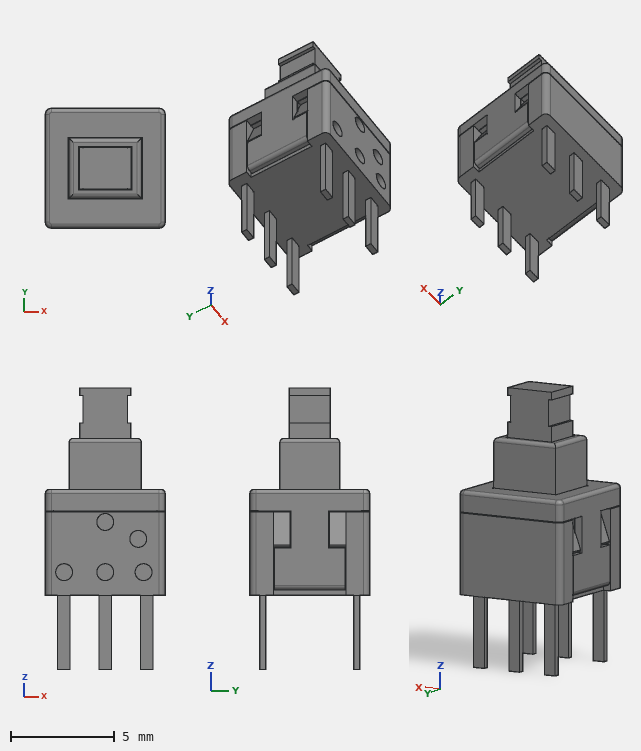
import cadquery as cq

TOTAL_HEIGHT = 13.6
WIDTH = 5.8
CORNER_RADIUS = 0.3
BASE_BOTTOM_Z = 3.59
COVER_TOP_Z = 8.7
CLEARANCE = 0.048

COVER_THICKNESS = 0.4
COVER_EDGE_RADIUS = 0.2
SKIRT_BOTTOM_Z = 7.65
TAB_NECK_WIDTH = 1.8
TAB_ARM_WIDTH = 3.4
TAB_ARM_TOP_Z = 5.86
TAB_BOTTOM_Z = 3.85
TAB_EDGE_RADIUS = 0.2

WEDGE_NOSE_DEPTH = 0.05
WEDGE_TOP_DEPTH = 0.63
WEDGE_EDGE_RADIUS = 0.11

BUTTON_LENGTH = 3.5
BUTTON_WIDTH = 2.9
BUTTON_TOP_Z = 11.17
BUTTON_EDGE_RADIUS = 0.2
TIP_LENGTH = 2.48
TIP_WIDTH = 2.0
TIP_MOAT_DEPTH = 0.2
TIP_NECK_LENGTH = 2.15
TIP_NECK_BOTTOM_Z = 11.91
TIP_NECK_TOP_Z = 13.22

PIN_LENGTH = 0.61
PIN_THICKNESS = 0.3
PIN_PITCH = 2.0
PIN_ROW_SPACING = 4.54

HOLE_RADIUS = 0.41
HOLE_DEPTH = 0.5
LOWER_HOLE_Z = 4.7
HOLE_CENTRES = [
    (-1.99, LOWER_HOLE_Z),
    (0, LOWER_HOLE_Z),
    (1.85, LOWER_HOLE_Z),
    (1.59, 6.31),
    (0, 7.13),
]

HALF_WIDTH = WIDTH / 2
CORE_WIDTH = WIDTH - 2 * COVER_THICKNESS
CORE_TOP_Z = COVER_TOP_Z - COVER_THICKNESS
SHOULDER_Z = SKIRT_BOTTOM_Z - CLEARANCE
CHANNEL_WIDTH = TAB_ARM_WIDTH + 2 * CLEARANCE
NECK_SLOT_WIDTH = TAB_NECK_WIDTH + 2 * CLEARANCE
WEDGE_BOTTOM_Z = TAB_ARM_TOP_Z + CLEARANCE


def box(length, width, bottom_z, top_z):
    """Box centred on the Z axis between two heights."""
    plate = cq.Workplane("XY").workplane(offset=bottom_z).rect(length, width)
    return plate.extrude(top_z - bottom_z)


def rounded_block(bottom_z, top_z):
    """Square block with the rounded upright corners of the outer shape."""
    return box(WIDTH, WIDTH, bottom_z, top_z).edges("|Z").fillet(CORNER_RADIUS)


def on_both_sides(shape):
    """A feature of the -X side together with its copy turned to the +X side."""
    return shape.union(shape.rotate((0, 0, 0), (0, 0, 1), 180))


def side_slab(width, bottom_z, top_z):
    """Slab of the cover's thickness, flush with the -X face."""
    slab = box(COVER_THICKNESS, width, bottom_z, top_z)
    return slab.translate((-HALF_WIDTH + COVER_THICKNESS / 2, 0, 0))


def make_tab():
    """T-shaped tab on the -X side with a rounded lower outer edge."""
    neck = side_slab(TAB_NECK_WIDTH, TAB_ARM_TOP_Z, SKIRT_BOTTOM_Z)
    arms = side_slab(TAB_ARM_WIDTH, TAB_BOTTOM_Z, TAB_ARM_TOP_Z)
    arms = arms.edges("<X and <Z").fillet(TAB_EDGE_RADIUS)
    return neck.union(arms)


def make_cover():
    """Cap over the top of the base, open around the button."""
    cap = rounded_block(SKIRT_BOTTOM_Z, COVER_TOP_Z)
    cap = cap.faces(">Z").edges().fillet(COVER_EDGE_RADIUS)
    cap = cap.cut(box(CORE_WIDTH, CORE_WIDTH, SKIRT_BOTTOM_Z, CORE_TOP_Z))
    opening = box(
        BUTTON_LENGTH + 2 * CLEARANCE,
        BUTTON_WIDTH + 2 * CLEARANCE,
        CORE_TOP_Z,
        COVER_TOP_Z,
    )
    return cap.cut(opening).union(on_both_sides(make_tab()))


def make_ramp_windows():
    """Pair of openings on the -X side, one each side of the tab's neck, floored by the wedge ramps."""
    outer_x = -HALF_WIDTH
    nose_x = outer_x + WEDGE_NOSE_DEPTH
    windows = (
        cq.Workplane("XZ")
        .moveTo(outer_x, WEDGE_BOTTOM_Z)
        .lineTo(nose_x + WEDGE_EDGE_RADIUS, WEDGE_BOTTOM_Z)
        .radiusArc((nose_x, WEDGE_BOTTOM_Z + WEDGE_EDGE_RADIUS), WEDGE_EDGE_RADIUS)
        .lineTo(outer_x + WEDGE_TOP_DEPTH, SHOULDER_Z)
        .lineTo(outer_x, SHOULDER_Z)
        .close()
        .extrude(CHANNEL_WIDTH / 2, both=True)
    )
    return windows.cut(box(WIDTH, NECK_SLOT_WIDTH, WEDGE_BOTTOM_Z, SHOULDER_Z))


def make_tab_channel():
    """Space on the -X side for the tab, open at the bottom, with the ramp windows above its arms."""
    arm_channel = side_slab(CHANNEL_WIDTH, BASE_BOTTOM_Z, WEDGE_BOTTOM_Z)
    neck_slot = side_slab(NECK_SLOT_WIDTH, WEDGE_BOTTOM_Z, SHOULDER_Z)
    return arm_channel.union(neck_slot).union(make_ramp_windows())


def make_side_holes():
    """Blind holes entering from the -Y face."""
    face = cq.Workplane("XZ", origin=(0, -HALF_WIDTH, 0))
    return face.pushPoints(HOLE_CENTRES).circle(HOLE_RADIUS).extrude(-HOLE_DEPTH)


def make_button():
    """Button with rounded top edges and a narrow moat around its tip."""
    button = box(BUTTON_LENGTH, BUTTON_WIDTH, CORE_TOP_Z, BUTTON_TOP_Z)
    button = button.faces(">Z").edges().fillet(BUTTON_EDGE_RADIUS)
    moat_floor_z = BUTTON_TOP_Z - TIP_MOAT_DEPTH
    recess = box(TIP_LENGTH + 2 * CLEARANCE, TIP_WIDTH + 2 * CLEARANCE, moat_floor_z, BUTTON_TOP_Z)
    tip = box(TIP_LENGTH, TIP_WIDTH, moat_floor_z, TOTAL_HEIGHT)
    neck_band = box(TIP_LENGTH, TIP_WIDTH, TIP_NECK_BOTTOM_Z, TIP_NECK_TOP_Z)
    neck = box(TIP_NECK_LENGTH, TIP_WIDTH, TIP_NECK_BOTTOM_Z, TIP_NECK_TOP_Z)
    return button.cut(recess).union(tip.cut(neck_band.cut(neck)))


def make_pins():
    """Two rows of three flat pins below the base."""
    layout = cq.Workplane("XY").rarray(PIN_PITCH, PIN_ROW_SPACING, 3, 2)
    return layout.rect(PIN_LENGTH, PIN_THICKNESS).extrude(BASE_BOTTOM_Z)


def make_base():
    """Base block with the core inside the cover, the button and the pins."""
    block = rounded_block(BASE_BOTTOM_Z, SHOULDER_Z)
    core = box(CORE_WIDTH, CORE_WIDTH, SHOULDER_Z, CORE_TOP_Z)
    block = block.cut(on_both_sides(make_tab_channel())).cut(make_side_holes())
    return block.union(core).union(make_button()).union(make_pins())


base = make_base()
cover = make_cover()

result = cq.Compound.makeCompound([base.val(), cover.val()])